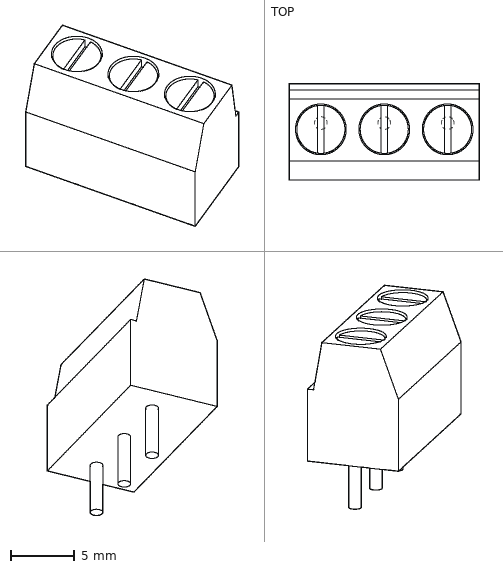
import cadquery as cq


way_count = 3
housing_length = 15.0
pitch = housing_length / way_count
way_positions = [(i - (way_count - 1) / 2) * pitch for i in range(way_count)]

housing_depth = 7.6
housing_height = 10.0
shoulder_height = 6.0
back_ledge = 0.51
top_front_y = 1.5
top_back_y = 6.4

screw_y = 4.0
screw_diameter = 3.8
well_clearance = 0.1
well_diameter = screw_diameter + 2 * well_clearance
screw_sink = 0.2
screw_height = 2.0
well_depth = screw_sink + screw_height
slot_width = 0.5
slot_depth = 0.75

pin_y = 4.5
pin_diameter = 1.0
pin_length = 4.29


def make_housing():
    """Extruded cross-section with one round well per way, open at the top."""
    outline = [
        (0, 0),
        (housing_depth, 0),
        (housing_depth, shoulder_height),
        (housing_depth - back_ledge, shoulder_height),
        (top_back_y, housing_height),
        (top_front_y, housing_height),
        (0, shoulder_height),
    ]
    block = (
        cq.Workplane("YZ")
        .polyline(outline)
        .close()
        .extrude(housing_length / 2, both=True)
    )
    wells = (
        cq.Workplane("XY", origin=(0, 0, housing_height))
        .pushPoints([(x, screw_y) for x in way_positions])
        .circle(well_diameter / 2)
        .extrude(-well_depth)
    )
    return block.cut(wells)


def make_screw(x):
    """Round screw standing on the floor of its well, slotted across the top along Y."""
    screw_top = housing_height - screw_sink
    top_plane = cq.Workplane("XY", origin=(x, screw_y, screw_top))
    body = top_plane.circle(screw_diameter / 2).extrude(-screw_height)
    slot = top_plane.rect(slot_width, screw_diameter).extrude(-slot_depth)
    return body.cut(slot)


def make_pin(x):
    """Round pin hanging from the underside of the housing."""
    return (
        cq.Workplane("XY", origin=(x, pin_y, 0))
        .circle(pin_diameter / 2)
        .extrude(-pin_length)
    )


housing = make_housing()
screws = [make_screw(x) for x in way_positions]
pins = [make_pin(x) for x in way_positions]

result = cq.Compound.makeCompound(
    [housing.val()]
    + [screw.val() for screw in screws]
    + [pin.val() for pin in pins]
)